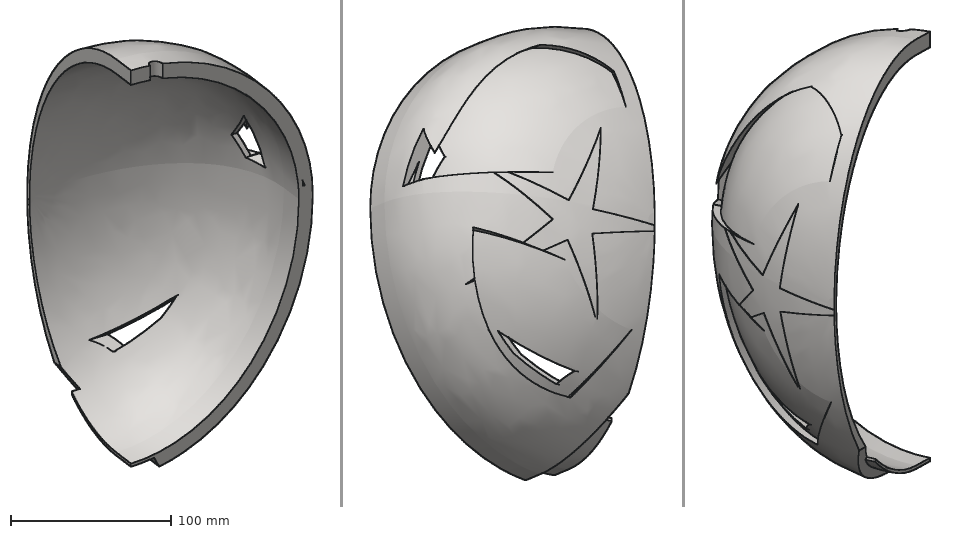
import cadquery as cq
import math

WIDTH = 134.3
TOP = 128.2
BOTTOM = 162.0
RIM_LENGTH = 17.3
DOME_DEPTH = 103.7
POLE_Z = (TOP - BOTTOM) / 2
REACH = 345.7

WALL = 10.5
APEX_WALL = 3.0
LINER_WALL = 2.3
LINER_LENGTH = 69
FLOOR_SCALE = 0.948
FLOOR_RISE = 2.0

STAR_RADIUS = 66.0
STAR_INNER_RADIUS = 13.3
STAR_CENTER = (52.7, -21.5)
STAR_POINTS = 5
STAR_DEPTH = 0.3

HOLE_RADIUS = 4.5
HOLE_Y = 18.7


def egg_wire(x, half_width, top, bottom, scale):
    """Egg made of two half ellipses, scaled about the pole axis."""
    center_z = POLE_Z * (1 - scale)
    plane = cq.Plane((x, 0, center_z), xDir=(0, 1, 0), normal=(-1, 0, 0))
    outline = (
        cq.Workplane(plane)
        .moveTo(half_width * scale, 0)
        .ellipseArc(half_width * scale, bottom * scale, 0, 180, startAtCurrent=True)
        .ellipseArc(half_width * scale, top * scale, 180, 360, startAtCurrent=True)
        .close()
    )
    return outline.val()


def dome(half_width, top, bottom, depth):
    """Straight rim stretch followed by a dome with an elliptical profile."""
    angles = (0, 8, 18, 30, 42, 54, 65, 75, 83, 88)
    sections = []
    for angle in angles:
        turn = math.radians(angle)
        x = -RIM_LENGTH - depth * math.sin(turn)
        sections.append(egg_wire(x, half_width, top, bottom, math.cos(turn)))
    cap = cq.Workplane(obj=cq.Solid.makeLoft(sections))
    rim_face = cq.Face.makeFromWires(egg_wire(0, half_width, top, bottom, 1))
    rim = cq.Workplane(obj=cq.Solid.extrudeLinear(rim_face, cq.Vector(-RIM_LENGTH, 0, 0)))
    return cap.union(rim)


def shrunken_dome(wall, apex_wall):
    return dome(WIDTH - wall, TOP - wall, BOTTOM - wall, DOME_DEPTH - apex_wall)


def along_x(outline):
    """Extrude an outline drawn in Y and Z through the part along X."""
    return outline.close().extrude(-REACH)


def upper_window():
    return along_x(
        cq.Workplane("YZ")
        .moveTo(11.8, 8.5)
        .lineTo(11.8, 84.5)
        .threePointArc((27.5, 97.5), (49, 102.5))
        .spline([(95, 69), (115.2, 37.5), (128.2, 8.5)], includeCurrent=True)
    )


def lower_window():
    return along_x(
        cq.Workplane("YZ")
        .moveTo(106.5, -26)
        .spline([(103.7, -54.0), (82.0, -100.0), (36.0, -126.2)], includeCurrent=True)
        .lineTo(0, -71.2)
    )


def side_opening(points):
    """Opening that runs through the wall along Y."""
    return cq.Workplane("XZ").polyline(points).close().extrude(-REACH)


def star():
    outline = []
    for index in range(2 * STAR_POINTS):
        radius = STAR_INNER_RADIUS if index % 2 else STAR_RADIUS
        angle = math.pi + math.pi * index / STAR_POINTS
        y = STAR_CENTER[0] + radius * math.cos(angle)
        z = STAR_CENTER[1] + radius * math.sin(angle)
        outline.append((y, z))
    return along_x(cq.Workplane("YZ").polyline(outline))


def lower_corner():
    """Sloped cut across the bottom of the Y = 0 side."""
    return along_x(
        cq.Workplane("YZ").polyline([(0, -121), (21.0, -160.0), (21.0, -REACH), (0, -REACH)])
    )


outside = dome(WIDTH, TOP, BOTTOM, DOME_DEPTH)
cavity = shrunken_dome(WALL, APEX_WALL)
half_space = cq.Workplane().box(REACH, REACH, 2 * REACH).translate((-REACH / 2, REACH / 2, 0))
shell = outside.cut(cavity).intersect(half_space)

window_floor = dome(
    WIDTH * FLOOR_SCALE, TOP * FLOOR_SCALE, BOTTOM * FLOOR_SCALE, DOME_DEPTH + FLOOR_RISE
)
for window in (upper_window(), lower_window()):
    shell = shell.cut(window.cut(window_floor))

shell = shell.cut(side_opening([(-43.2, 43.2), (-35.7, 6.5), (-50.5, 8.4), (-57.5, 23)]))
shell = shell.cut(side_opening([(-70.5, -88.0), (-71.2, -100.8), (-76.3, -118), (-86.5, -111.0)]))

star_floor = shrunken_dome(STAR_DEPTH, STAR_DEPTH)
shell = shell.cut(star().cut(star_floor))

liner_space = shrunken_dome(WALL - LINER_WALL, APEX_WALL).intersect(
    cq.Workplane().box(LINER_LENGTH, REACH, 2 * REACH).translate((-LINER_LENGTH / 2, 0, 0))
)
shell = shell.cut(lower_corner().cut(liner_space))

notch = cq.Workplane("XY").center(0, HOLE_Y).circle(HOLE_RADIUS).extrude(REACH)
result = shell.cut(notch)